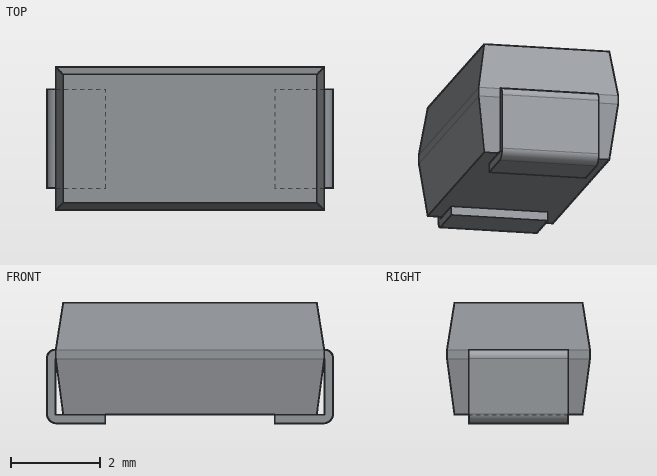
import cadquery as cq

total_length = 6.4
body_width = 3.2
total_height = 2.7

lead_thickness = 0.2
lead_width = 2.215
foot_length = 1.31
upper_bend_radius = 0.19
lower_bend_radius = 0.225

body_length = total_length - 2 * lead_thickness
body_bottom = lead_thickness
belt_top = 1.65
belt_bottom = belt_top - lead_thickness
end_inset = 0.165


def frustum(base_z, end_z):
    """Half of the housing, from the belt outline to a smaller flat face."""
    return (
        cq.Workplane("XY")
        .workplane(offset=base_z)
        .rect(body_length, body_width)
        .workplane(offset=end_z - base_z)
        .rect(body_length - 2 * end_inset, body_width - 2 * end_inset)
        .loft(ruled=True)
    )


def make_housing():
    belt = (
        cq.Workplane("XY")
        .workplane(offset=belt_bottom)
        .rect(body_length, body_width)
        .extrude(belt_top - belt_bottom)
    )
    upper_half = frustum(belt_top, total_height)
    lower_half = frustum(belt_bottom, body_bottom)
    return belt.union(upper_half).union(lower_half)


def make_lead(side):
    """Lead at the end given by side (-1 or +1): a wall with a foot turned in under the housing."""
    outer_x = side * total_length / 2
    inner_x = side * body_length / 2
    foot_end_x = side * (total_length / 2 - foot_length)
    strip = (
        cq.Workplane("XZ")
        .moveTo(outer_x, 0)
        .lineTo(outer_x, belt_top)
        .lineTo(inner_x, belt_top)
        .lineTo(inner_x, lead_thickness)
        .lineTo(foot_end_x, lead_thickness)
        .lineTo(foot_end_x, 0)
        .close()
        .extrude(lead_width / 2, both=True)
    )
    outer_face = ">X" if side > 0 else "<X"
    strip = strip.faces(outer_face).edges("<Z").fillet(lower_bend_radius)
    return strip.faces(outer_face).edges(">Z").fillet(upper_bend_radius)


housing = make_housing()
leads = [make_lead(side) for side in (-1, 1)]

result = cq.Compound.makeCompound([housing.val(), *[lead.val() for lead in leads]])